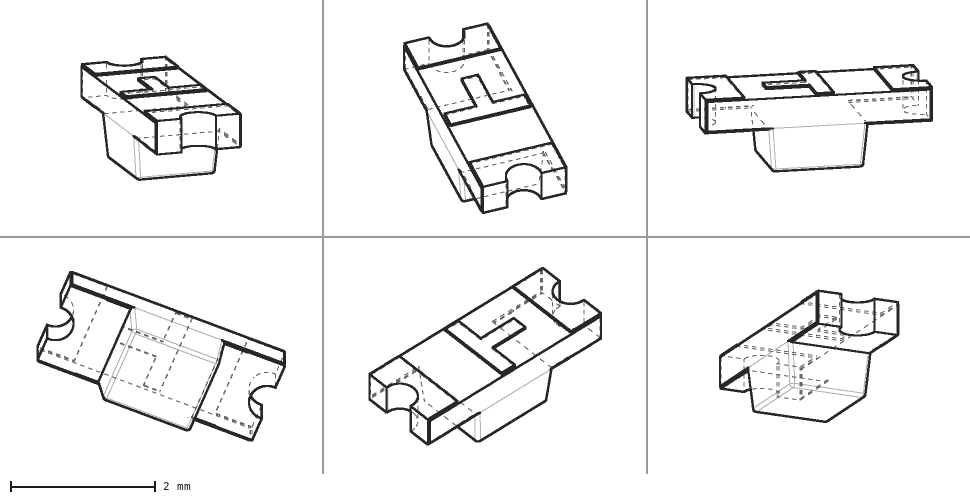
import cadquery as cq
import math

total_length = 3.2
total_width = 1.25
total_height = 1.1

terminal_length = 0.55
terminal_top_thickness = 0.03
terminal_end_thickness = 0.022
terminal_bottom_thickness = 0.022
terminal_side_inset = 0.02
notch_radius = 0.25

board_length = total_length - 2 * terminal_end_thickness
board_thickness = 0.43

underlayer_length = total_length - 2 * terminal_length
underlayer_width = 1.195

lens_length = 1.4
lens_height = total_height - terminal_top_thickness - board_thickness
lens_draft_angle = 5.0
lens_edge_radius = 0.05

mark_line_width = 0.243
mark_length = 0.85
mark_bar_end_x = 0.218
mark_bar_length = 1.175
mark_thickness = 0.03

board_top = board_thickness


def make_block(x_start, x_end, width, z_start, z_end):
    """Box between two X and two Z positions, centred on Y = 0."""
    return (
        cq.Workplane("XY", origin=((x_start + x_end) / 2, 0, z_start))
        .rect(x_end - x_start, width)
        .extrude(z_end - z_start)
    )


def make_lens():
    """Drafted block hanging from the board, rounded on all but its top edges."""
    inset = lens_height * math.tan(math.radians(lens_draft_angle))
    return (
        cq.Workplane("XY")
        .rect(lens_length, total_width)
        .workplane(offset=-lens_height)
        .rect(lens_length - 2 * inset, total_width - 2 * inset)
        .loft(ruled=True)
        .edges("not >Z")
        .fillet(lens_edge_radius)
    )


def make_terminal(side):
    """Terminal at the -X end (side = -1) or the +X end (side = 1)."""
    outer_x = side * total_length / 2
    inner_x = outer_x - side * terminal_length
    return make_block(
        min(outer_x, inner_x),
        max(outer_x, inner_x),
        total_width - 2 * terminal_side_inset,
        -terminal_bottom_thickness,
        board_top + terminal_top_thickness,
    )


def make_notch(side):
    """Through cutter: a half round centred on the board end, open outwards."""
    board_end_x = side * board_length / 2
    outer_x = side * total_length / 2
    width = 2 * notch_radius
    z_start = -terminal_bottom_thickness
    z_end = board_top + terminal_top_thickness
    half_round = (
        cq.Workplane("XY", origin=(board_end_x, 0, z_start))
        .circle(notch_radius)
        .extrude(z_end - z_start)
    )
    mouth = make_block(min(board_end_x, outer_x), max(board_end_x, outer_x), width, z_start, z_end)
    return half_round.union(mouth)


def make_mark():
    """T-shaped mark: a bar across the board and a stem towards -X."""
    mark_top = board_top + mark_thickness
    bar_start_x = mark_bar_end_x - mark_line_width
    stem_start_x = mark_bar_end_x - mark_length
    bar = make_block(bar_start_x, mark_bar_end_x, mark_bar_length, board_top, mark_top)
    stem = make_block(stem_start_x, bar_start_x, mark_line_width, board_top, mark_top)
    return bar.union(stem)


def make_underlayer():
    """Thin layer centred under the board, flush with the terminal undersides."""
    end_x = underlayer_length / 2
    return make_block(-end_x, end_x, underlayer_width, -terminal_bottom_thickness, 0)


board = make_block(-board_length / 2, board_length / 2, total_width, 0, board_top)
result = board.union(make_underlayer()).union(make_lens()).union(make_mark())
for end_side in (-1, 1):
    result = result.union(make_terminal(end_side)).cut(make_notch(end_side))